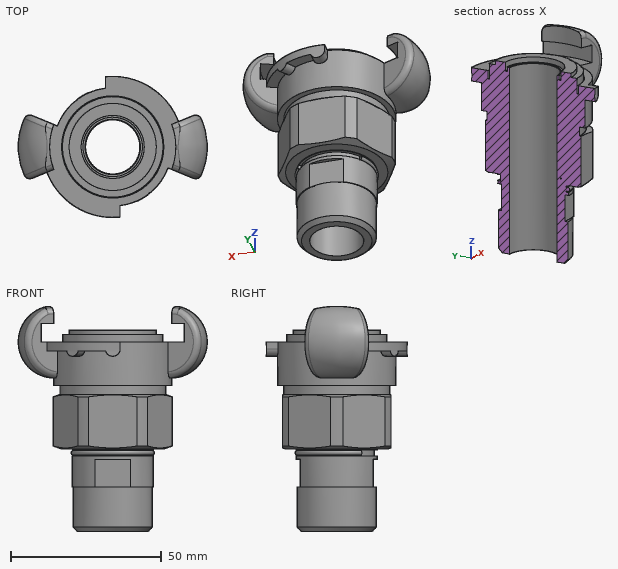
import cadquery as cq
import math

THREAD_CHAMFER = 1.5
THREAD_TOP = 14.8
FLATS_TOP = 24.0
GROOVE_BOTTOM = 25.2
GROOVE_TOP = 27.2
NUT_BOTTOM = 27.4
NUT_TOP = 45.55
NECK_TOP = 48.55
COLLAR_TOP = 63.1
INSERT_TOP = 65.55
SEAL_TOP = 67.0
TOTAL_HEIGHT = 74.9

BORE_D = 18.0
THREAD_D = 26.45
SHANK_D = 27.0
GROOVE_D = 25.0
NECK_D = 35.3
COLLAR_D = 39.4
INSERT_D = 33.4
INSERT_POCKET_D = 34.0
SEAL_D = 29.0
SEAL_MOUTH_D = 21.0
SLEEVE_D = 19.8
BORE_RIM_D = 18.4

SEAL_DEPTH = 1.6
BORE_RIM_CHAMFER = (BORE_RIM_D - BORE_D) / 2
INSERT_GAP_DEPTH = 3.0
SLEEVE_GAP_DEPTH = 1.5

FLATS_WIDTH = 24.3
WIRE_D = 1.65
RING_CENTRE_R = 13.0
RING_Z = (GROOVE_BOTTOM + GROOVE_TOP) / 2
RING_GAP_ANGLE = 106.0

NUT_FLATS = 36.2
NUT_CORNER_D = 39.6
NUT_TOP_FACE_D = 35.5
NUT_BOTTOM_FACE_D = 34.0
NUT_CHAMFER_ANGLE = 20.0

FLANGE_D = 47.0
FLANGE_R = FLANGE_D / 2
FLANGE_THICKNESS = 3.1
BUMP_R = 2.5
BUMP_ANGLE = 35.0
BUMP_DEPTH = 2.3
BUMP_Z = COLLAR_TOP - BUMP_DEPTH

CLAW_SPAN = 63.0
CLAW_SECTION_R = 12.05
CLAW_SECTION_X = CLAW_SPAN / 2 - CLAW_SECTION_R
CLAW_CROWN_R = 22.5
CLAW_TOP_CROWN_R = 33.7
CLAW_SIDE_ANGLE = 22.5
CLAW_WEDGE_X = 1.5
CLAW_FILLET = 2.0
CLAW_ROOT_R = 18.35
LIP_R = 21.0
SLOT_R = 25.5
SLOT_TOP = 69.15


def cylinder(diameter, bottom, top):
    return cq.Workplane("XY").workplane(offset=bottom).circle(diameter / 2).extrude(top - bottom)


def half_turn(shape):
    """The shape together with its copy turned 180 degrees about the Z axis."""
    return shape.union(shape.rotate((0, 0, 0), (0, 0, 1), 180))


def turned_body():
    """Stack of round sections from the chamfered thread end up to the seal."""
    body = cylinder(THREAD_D, 0, THREAD_TOP).faces("<Z").chamfer(THREAD_CHAMFER)
    for diameter, bottom, top in (
        (SHANK_D, THREAD_TOP, GROOVE_BOTTOM),
        (GROOVE_D, GROOVE_BOTTOM, GROOVE_TOP),
        (SHANK_D, GROOVE_TOP, NUT_BOTTOM),
        (NECK_D, NUT_TOP, NECK_TOP),
        (COLLAR_D, NECK_TOP, COLLAR_TOP),
        (INSERT_D, COLLAR_TOP, INSERT_TOP),
        (SEAL_D, INSERT_TOP, SEAL_TOP),
    ):
        body = body.union(cylinder(diameter, bottom, top))
    return body


def nut():
    """Hexagon with rounded corners and a conical chamfer at both ends."""
    height = NUT_TOP - NUT_BOTTOM
    corner_r = NUT_CORNER_D / 2
    top_r = NUT_TOP_FACE_D / 2
    bottom_r = NUT_BOTTOM_FACE_D / 2
    slope = math.tan(math.radians(NUT_CHAMFER_ANGLE))
    hexagon = (
        cq.Workplane("XY").workplane(offset=NUT_BOTTOM)
        .polygon(6, NUT_FLATS, circumscribed=True).extrude(height)
        .rotate((0, 0, 0), (0, 0, 1), 30)
    )
    envelope = (
        cq.Workplane("XZ")
        .moveTo(0, NUT_BOTTOM)
        .lineTo(bottom_r, NUT_BOTTOM)
        .lineTo(corner_r, NUT_BOTTOM + (corner_r - bottom_r) * slope)
        .lineTo(corner_r, NUT_TOP - (corner_r - top_r) * slope)
        .lineTo(top_r, NUT_TOP)
        .lineTo(0, NUT_TOP)
        .close()
        .revolve(360, (0, 0), (0, 1))
    )
    return hexagon.intersect(envelope)


def wrench_flat_cuts():
    """Material to remove beside the two flats facing -Y and +Y."""
    height = FLATS_TOP - THREAD_TOP
    blank = cq.Workplane("XY").box(2 * SHANK_D, 2 * SHANK_D, height)
    kept = cq.Workplane("XY").box(2 * SHANK_D, FLATS_WIDTH, height)
    return blank.cut(kept).translate((0, 0, THREAD_TOP + height / 2))


def snap_ring():
    """Open wire ring whose gap is centred on +Y."""
    ring = (
        cq.Workplane("XZ").center(RING_CENTRE_R, RING_Z).circle(WIRE_D / 2)
        .revolve(360 - RING_GAP_ANGLE, (-RING_CENTRE_R, 0), (-RING_CENTRE_R, 1))
    )
    return ring.rotate((0, 0, 0), (0, 0, 1), 90 + RING_GAP_ANGLE / 2)


def flange():
    """Quarter flange at -Y, from its free end just past the Y axis round into the claw at -X."""
    plate = cq.Workplane("XY").box(FLANGE_R, FLANGE_R, FLANGE_THICKNESS, centered=False)
    plate = plate.translate((-FLANGE_R, -FLANGE_R, COLLAR_TOP - FLANGE_THICKNESS))
    free_end = cq.Workplane("XY").box(BUMP_R, FLANGE_R, BUMP_DEPTH, centered=False)
    free_end = free_end.translate((0, -FLANGE_R, BUMP_Z))
    bump = cq.Workplane("XZ").center(0, BUMP_Z).circle(BUMP_R).extrude(FLANGE_D)
    rim = cylinder(FLANGE_D, NECK_TOP, COLLAR_TOP).cut(cylinder(INSERT_POCKET_D, NECK_TOP, COLLAR_TOP))
    return (
        plate
        .union(free_end)
        .union(bump)
        .union(bump.rotate((0, 0, 0), (0, 0, 1), -BUMP_ANGLE))
        .intersect(rim)
    )


def round_sides(hook):
    """Fillet the outer edges along both side faces of the hook."""
    angle = math.radians(CLAW_SIDE_ANGLE)
    for side in (1, -1):
        outward = cq.Vector(-math.sin(angle), side * math.cos(angle), 0)
        side_face = hook.faces(cq.selectors.DirectionMinMaxSelector(outward, True))
        hook = side_face.edges("not |Z").fillet(CLAW_FILLET)
    return hook


def claw():
    """Rounded hook at +X with a slot that opens toward the axis."""
    axis_x = CLAW_SPAN / 2 - CLAW_CROWN_R
    centre_r = CLAW_SECTION_X - axis_x
    shell = (
        cq.Workplane("XZ")
        .moveTo(0, COLLAR_TOP - CLAW_SECTION_R)
        .lineTo(centre_r, COLLAR_TOP - CLAW_SECTION_R)
        .threePointArc((CLAW_CROWN_R, COLLAR_TOP), (centre_r, COLLAR_TOP + CLAW_SECTION_R))
        .lineTo(0, COLLAR_TOP + CLAW_SECTION_R)
        .close()
        .revolve(360, (0, 0), (0, 1))
        .translate((axis_x, 0, 0))
    )
    reach = 2 * CLAW_SECTION_X
    half_width = (reach - CLAW_WEDGE_X) * math.tan(math.radians(CLAW_SIDE_ANGLE))
    wedge = (
        cq.Workplane("XY")
        .polyline([(CLAW_WEDGE_X, 0), (reach, -half_width), (reach, half_width)])
        .close().extrude(TOTAL_HEIGHT + CLAW_SECTION_R)
    )
    crown = (
        cq.Workplane("YZ").center(0, TOTAL_HEIGHT - CLAW_TOP_CROWN_R)
        .circle(CLAW_TOP_CROWN_R).extrude(reach)
    )
    hook = shell.intersect(wedge).intersect(crown)
    hook = hook.cut(cylinder(2 * CLAW_ROOT_R, 0, 2 * TOTAL_HEIGHT))
    hook = round_sides(hook)
    hook = hook.cut(cylinder(2 * LIP_R, COLLAR_TOP, 2 * TOTAL_HEIGHT))
    return hook.cut(cylinder(2 * SLOT_R, COLLAR_TOP, SLOT_TOP))


def insert_gap():
    """Thin ring-shaped gap between the collar and the insert."""
    bottom = COLLAR_TOP - INSERT_GAP_DEPTH
    outer = cylinder(INSERT_POCKET_D, bottom, COLLAR_TOP)
    return outer.cut(cylinder(INSERT_D, bottom, COLLAR_TOP))


def bore():
    """Through bore, its rim chamfer, the seal mouth and the gap round the sleeve inside it."""
    seat_z = SEAL_TOP - SEAL_DEPTH
    return (
        cq.Workplane("XZ")
        .moveTo(0, 0)
        .lineTo(BORE_D / 2, 0)
        .lineTo(BORE_D / 2, seat_z - BORE_RIM_CHAMFER)
        .lineTo(BORE_RIM_D / 2, seat_z)
        .lineTo(SLEEVE_D / 2, seat_z)
        .lineTo(SLEEVE_D / 2, seat_z - SLEEVE_GAP_DEPTH)
        .lineTo(SEAL_MOUTH_D / 2, seat_z - SLEEVE_GAP_DEPTH)
        .lineTo(SEAL_MOUTH_D / 2, SEAL_TOP)
        .lineTo(0, SEAL_TOP)
        .close()
        .revolve(360, (0, 0), (0, 1))
    )


result = (
    turned_body()
    .cut(wrench_flat_cuts())
    .union(nut())
    .union(snap_ring())
    .union(half_turn(flange()))
    .union(half_turn(claw()))
    .cut(insert_gap())
    .cut(bore())
)